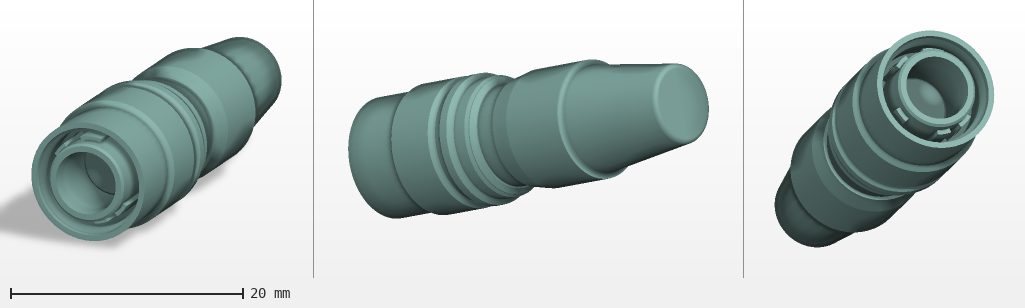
import cadquery as cq
import math

LENGTH = 35.0

TAIL_TIP_RADIUS = 3.52
TAIL_BASE_RADIUS = 4.68
TAIL_ROUND = 0.45
BARREL_RADIUS = 5.2
BARREL_REAR_Y = LENGTH - 10.0
BARREL_TAPER_Y = BARREL_REAR_Y - 6.0
BARREL_FRONT_Y = BARREL_TAPER_Y - 2.0
BARREL_FRONT_RADIUS = 4.8
NECK_RADIUS = 4.5

SLEEVE_REAR_Y = BARREL_FRONT_Y - 2.0
SLEEVE_RADIUS = 5.3
SLEEVE_REAR_RADIUS = 4.65
SLEEVE_BEVEL = 0.45
SLEEVE_LAND_LENGTH = 0.1
SLEEVE_SHOULDER_LENGTH = 0.85
GRIP_RADIUS = 5.75
GRIP_BEVEL = GRIP_RADIUS - SLEEVE_RADIUS
GRIP_FRONT_Y = 5.5
GRIP_LENGTH = 5.2
GROOVE_WIDTH = 0.5
RIB_LENGTH = 1.7
SLEEVE_FRONT_Y = 0.45

MOUTH_RADIUS = 4.8
MOUTH_CONE_START_Y = SLEEVE_FRONT_Y + 0.6
MOUTH_CONE_END_Y = SLEEVE_FRONT_Y + 1.4
SOCKET_RADIUS = 4.42
SOCKET_LEDGE_Y = 4.0
WELL_RADIUS = 4.0
WELL_FLOOR_Y = 5.0

TUBE_RADIUS = 3.5
TUBE_EDGE = 0.2
TUBE_BORE_RADIUS = 2.8
INSERT_Y = 6.0
INSERT_EDGE = 0.2

KEY_RADIUS = 3.9
KEY_FRONT_Y = SLEEVE_FRONT_Y + 0.6
KEYS = [(0, 29), (130, 20), (165, 18.5), (230, 20), (310, 20)]


def turned(profile):
    """Revolve a closed (radius, y) wire drawn on XY about the Y axis."""
    return profile.close().revolve(360, (0, 0, 0), (0, 1, 0))


def make_body():
    grip_rear_y = GRIP_FRONT_Y + GRIP_LENGTH
    rib_front_y = grip_rear_y + GROOVE_WIDTH
    rib_rear_y = rib_front_y + RIB_LENGTH
    land_radius = SLEEVE_REAR_RADIUS + SLEEVE_BEVEL
    land_rear_y = SLEEVE_REAR_Y - SLEEVE_BEVEL
    outline = (
        cq.Workplane("XY")
        .moveTo(0, SLEEVE_FRONT_Y)
        .lineTo(SLEEVE_RADIUS, SLEEVE_FRONT_Y)
        .lineTo(SLEEVE_RADIUS, GRIP_FRONT_Y)
        .lineTo(GRIP_RADIUS, GRIP_FRONT_Y + GRIP_BEVEL)
        .lineTo(GRIP_RADIUS, grip_rear_y - GRIP_BEVEL)
        .lineTo(SLEEVE_RADIUS, grip_rear_y)
        .lineTo(SLEEVE_RADIUS, rib_front_y)
        .lineTo(GRIP_RADIUS, rib_front_y + GRIP_BEVEL)
        .lineTo(GRIP_RADIUS, rib_rear_y - GRIP_BEVEL)
        .lineTo(SLEEVE_RADIUS, rib_rear_y)
        .lineTo(SLEEVE_RADIUS, SLEEVE_REAR_Y - SLEEVE_SHOULDER_LENGTH)
        .lineTo(land_radius, land_rear_y - SLEEVE_LAND_LENGTH)
        .lineTo(land_radius, land_rear_y)
        .lineTo(SLEEVE_REAR_RADIUS, SLEEVE_REAR_Y)
        .lineTo(NECK_RADIUS, SLEEVE_REAR_Y)
        .lineTo(NECK_RADIUS, BARREL_FRONT_Y)
        .lineTo(BARREL_FRONT_RADIUS, BARREL_FRONT_Y)
        .lineTo(BARREL_RADIUS, BARREL_TAPER_Y)
        .lineTo(BARREL_RADIUS, BARREL_REAR_Y)
        .lineTo(TAIL_BASE_RADIUS + TAIL_ROUND, BARREL_REAR_Y)
        .radiusArc((TAIL_BASE_RADIUS, BARREL_REAR_Y + TAIL_ROUND), TAIL_ROUND)
        .lineTo(TAIL_TIP_RADIUS, LENGTH - TAIL_ROUND)
        .radiusArc((TAIL_TIP_RADIUS - TAIL_ROUND, LENGTH), -TAIL_ROUND)
        .lineTo(0, LENGTH)
    )
    return turned(outline)


def make_socket():
    outline = (
        cq.Workplane("XY")
        .moveTo(0, SLEEVE_FRONT_Y)
        .lineTo(MOUTH_RADIUS, SLEEVE_FRONT_Y)
        .lineTo(MOUTH_RADIUS, MOUTH_CONE_START_Y)
        .lineTo(SOCKET_RADIUS, MOUTH_CONE_END_Y)
        .lineTo(SOCKET_RADIUS, SOCKET_LEDGE_Y)
        .lineTo(WELL_RADIUS, SOCKET_LEDGE_Y)
        .lineTo(WELL_RADIUS, WELL_FLOOR_Y)
        .lineTo(0, WELL_FLOOR_Y)
    )
    return turned(outline)


def make_tube():
    outline = (
        cq.Workplane("XY")
        .moveTo(0, 0)
        .lineTo(TUBE_RADIUS - TUBE_EDGE, 0)
        .lineTo(TUBE_RADIUS, TUBE_EDGE)
        .lineTo(TUBE_RADIUS, WELL_FLOOR_Y)
        .lineTo(0, WELL_FLOOR_Y)
    )
    return turned(outline)


def make_tube_bore():
    """Bore ending on the bevelled face of the contact insert."""
    outline = (
        cq.Workplane("XY")
        .moveTo(0, 0)
        .lineTo(TUBE_BORE_RADIUS, 0)
        .lineTo(TUBE_BORE_RADIUS, INSERT_Y + INSERT_EDGE)
        .lineTo(TUBE_BORE_RADIUS - INSERT_EDGE, INSERT_Y)
        .lineTo(0, INSERT_Y)
    )
    return turned(outline)


def make_key(centre_angle, width_angle):
    """Ring segment around the tube, from KEY_FRONT_Y to the well floor."""
    def on_circle(radius, degrees):
        angle = math.radians(degrees)
        return radius * math.sin(angle), radius * math.cos(angle)

    start = centre_angle - width_angle / 2
    end = centre_angle + width_angle / 2
    root_radius = (TUBE_BORE_RADIUS + TUBE_RADIUS) / 2
    return (
        cq.Workplane("XZ", origin=(0, KEY_FRONT_Y, 0))
        .moveTo(*on_circle(root_radius, start))
        .lineTo(*on_circle(KEY_RADIUS, start))
        .threePointArc(on_circle(KEY_RADIUS, centre_angle), on_circle(KEY_RADIUS, end))
        .lineTo(*on_circle(root_radius, end))
        .threePointArc(on_circle(root_radius, centre_angle), on_circle(root_radius, start))
        .close()
        .extrude(KEY_FRONT_Y - WELL_FLOOR_Y)
    )


result = make_body().cut(make_socket()).union(make_tube())
for key_angle, key_width in KEYS:
    result = result.union(make_key(key_angle, key_width))
result = result.cut(make_tube_bore())